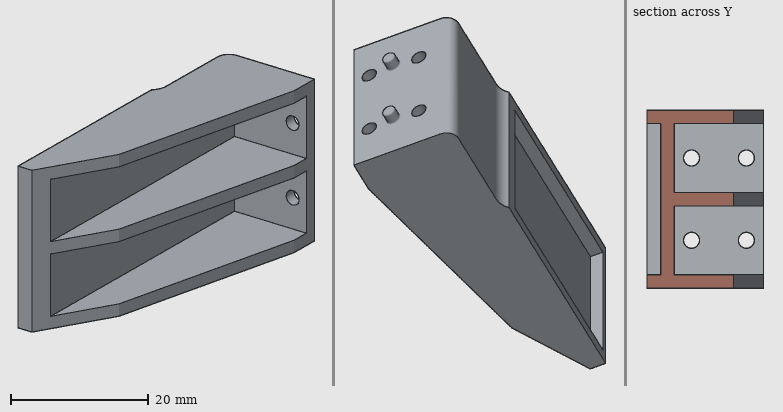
import cadquery as cq
import math

WIDTH = 17.0
BODY_LENGTH = 50.0
HEIGHT = 26.0
WALL = 2.0

TIP_WIDTH = 2.5
KNEE_X = 9.5
KNEE_Y = 12.0
SHOULDER_Y = 45.0

STEP = 1.0
STEP_START_Y = 33.0
STEP_RADIUS = 3.0
CORNER_RADIUS = 2.0

WINDOW_START_Y = 1.0
WINDOW_LENGTH = 30.0
WINDOW_DEPTH = 2.0

POCKET_COUNT = 2
POCKET_START_X = 4.0
POCKET_HEIGHT = (HEIGHT - (POCKET_COUNT + 1) * WALL) / POCKET_COUNT
POCKET_FLOOR_Y = BODY_LENGTH - WALL
POCKET_CENTERS_Z = [
    WALL + POCKET_HEIGHT / 2 + i * (POCKET_HEIGHT + WALL) for i in range(POCKET_COUNT)
]

FASTENER_CENTER_X = POCKET_START_X + (WIDTH - POCKET_START_X) / 2
HOLE_SPACING = 8.0
HOLE_DIAMETER = 2.3
PEG_DIAMETER = 2.0
PEG_LENGTH = 2.0
PEG_FILLET = 0.3


def make_body():
    """Wedge with a step arc that leaves the upper side face tangentially."""
    step_run = math.sqrt(STEP_RADIUS**2 - (STEP_RADIUS - STEP) ** 2)
    step_end_y = STEP_START_Y + step_run
    return (
        cq.Workplane("XY")
        .moveTo(0, 0)
        .lineTo(TIP_WIDTH, 0)
        .lineTo(KNEE_X, KNEE_Y)
        .lineTo(WIDTH, SHOULDER_Y)
        .lineTo(WIDTH, BODY_LENGTH)
        .lineTo(STEP + CORNER_RADIUS, BODY_LENGTH)
        .radiusArc((STEP, BODY_LENGTH - CORNER_RADIUS), -CORNER_RADIUS)
        .lineTo(STEP, step_end_y)
        .radiusArc((0, STEP_START_Y), STEP_RADIUS)
        .close()
        .extrude(HEIGHT)
    )


def make_window():
    return cq.Workplane("XY").box(
        WINDOW_DEPTH, WINDOW_LENGTH, HEIGHT - 2 * WALL, centered=False
    ).translate((0, WINDOW_START_Y, WALL))


def make_pocket(center_z):
    """Pocket open toward -Y and through the +X side."""
    return cq.Workplane("XY").box(
        WIDTH - POCKET_START_X, POCKET_FLOOR_Y, POCKET_HEIGHT, centered=False
    ).translate((POCKET_START_X, 0, center_z - POCKET_HEIGHT / 2))


def make_hole(x, z):
    """Round through hole in the end wall, running along +Y."""
    return (
        cq.Workplane("XZ", origin=(x, POCKET_FLOOR_Y, z))
        .circle(HOLE_DIAMETER / 2)
        .extrude(-WALL)
    )


def make_peg(center_z):
    """Peg on the end wall, turned about Y, with a rounded free end and a filleted root."""
    radius = PEG_DIAMETER / 2
    return (
        cq.Workplane("XY", origin=(FASTENER_CENTER_X, BODY_LENGTH, center_z))
        .moveTo(0, 0)
        .lineTo(radius + PEG_FILLET, 0)
        .radiusArc((radius, PEG_FILLET), PEG_FILLET)
        .lineTo(radius, PEG_LENGTH - PEG_FILLET)
        .radiusArc((radius - PEG_FILLET, PEG_LENGTH), -PEG_FILLET)
        .lineTo(0, PEG_LENGTH)
        .close()
        .revolve(360, (0, 0, 0), (0, 1, 0))
    )


result = make_body().cut(make_window())
for pocket_z in POCKET_CENTERS_Z:
    result = result.cut(make_pocket(pocket_z))
    for side in (-1, 1):
        hole_x = FASTENER_CENTER_X + side * HOLE_SPACING / 2
        result = result.cut(make_hole(hole_x, pocket_z))
    result = result.union(make_peg(pocket_z))